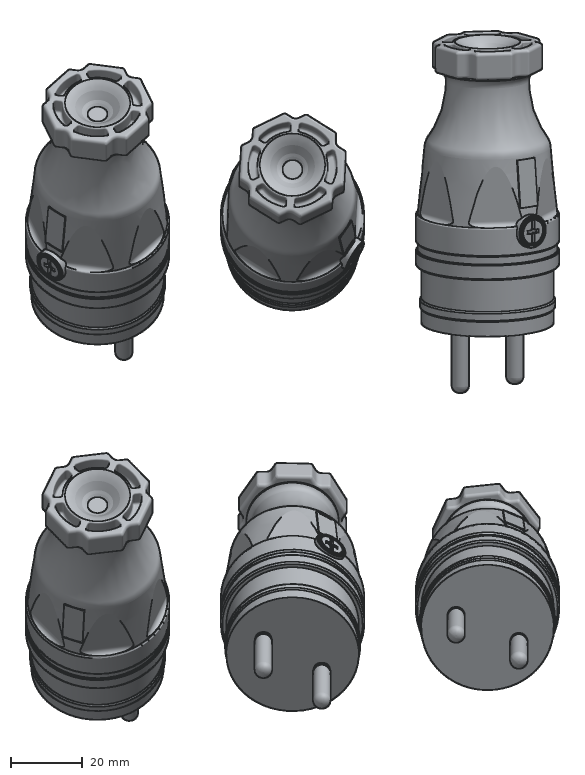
import cadquery as cq
import math


overall_width = 40.0
overall_depth = 41.0
overall_height = 98.7

base_z = 18.8
rib_bottom_z = 22.9
rib_top_z = 25.9
ring_bottom_z = 35.0
ring_top_z = 39.6
collar_bottom_z = 41.7
collar_top_z = 49.9
cone_top_z = 69.0
bell_bottom_z = 71.4
neck_z = 87.9
cap_height = 7.9
cap_bottom_z = overall_height - cap_height

base_radius = 18.5
rib_radius = 18.9
ring_radius = overall_width / 2
groove_radius = 19.4
cone_bottom_radius = 19.4
cone_top_radius = 17.6
bell_bottom_radius = 16.7
neck_radius = 11.6
rib_bevel = 0.5
ring_bevel = 0.5
ring_top_bevel = 0.3
collar_round = 0.5

side_count = 6
side_angle = 360 / side_count
flat_distance = 17.8
flat_round = 1.5

panel_width = 6.0
panel_bottom_z = 55.0
panel_top_z = 68.4
panel_height = 0.15
panel_embed = 3.0

front_y = ring_radius - overall_depth
screw_z = 48.3
screw_boss_radius = 4.6
screw_boss_bevel = 0.3
screw_boss_length = 5.9
screw_gap_outer_radius = 3.8
screw_gap_inner_radius = 3.5
screw_gap_depth = 0.6
slot_length = 6.7
cross_length = 3.75
cross_width = 1.0
cross_centre_width = 2.4
cross_depth = 1.2

cap_flat_distance = 14.6
cap_round = 1.0
notch_half_angle = 60
notch_distance = 13.4
notch_root_round = 2.1
notch_corner_round = 0.8
neck_flare_radius = 2.9
neck_flare_angle = 55

funnel_radius = 9.1
funnel_lip_radius = 6.2
funnel_lip_depth = 1.7
funnel_lip_bulge = 0.15
funnel_throat_radius = 4.3
funnel_throat_depth = 3.6
funnel_step_radius = 3.6
funnel_step_depth = 4.0
funnel_floor_radius = 2.8
funnel_floor_depth = 4.6

pocket_inner_radius = 9.8
pocket_outer_radius = 12.3
pocket_depth = 4.4
spoke_width = 2.2
pocket_corner_round = 0.8
pocket_floor_round = 0.7
pocket_rim_round = 0.4

pin_spacing = 19.0
pin_radius = 2.5
pin_neck_radius = 2.3
pin_shoulder_z = 17.6
pin_tip_round = 2.2


def make_body():
    flare_angle = math.radians(neck_flare_angle)
    flare_end_radius = neck_radius + neck_flare_radius * (1 - math.cos(flare_angle))
    flare_end_z = neck_z + neck_flare_radius * math.sin(flare_angle)
    return (
        cq.Workplane("XZ")
        .moveTo(0, base_z)
        .lineTo(base_radius, base_z)
        .lineTo(base_radius, rib_bottom_z)
        .lineTo(rib_radius, rib_bottom_z + rib_bevel)
        .lineTo(rib_radius, rib_top_z - rib_bevel)
        .lineTo(base_radius, rib_top_z)
        .lineTo(base_radius, ring_bottom_z)
        .lineTo(ring_radius - ring_bevel, ring_bottom_z)
        .lineTo(ring_radius, ring_bottom_z + ring_bevel)
        .lineTo(ring_radius, ring_top_z - ring_top_bevel)
        .lineTo(ring_radius - ring_top_bevel, ring_top_z)
        .lineTo(groove_radius, ring_top_z)
        .lineTo(groove_radius, collar_bottom_z)
        .lineTo(ring_radius - ring_bevel, collar_bottom_z)
        .lineTo(ring_radius, collar_bottom_z + ring_bevel)
        .lineTo(ring_radius, collar_top_z - collar_round)
        .radiusArc((ring_radius - collar_round, collar_top_z), -collar_round)
        .lineTo(cone_bottom_radius, collar_top_z)
        .lineTo(cone_top_radius, cone_top_z)
        .tangentArcPoint((bell_bottom_radius, bell_bottom_z), relative=False)
        .tangentArcPoint((neck_radius, neck_z), relative=False)
        .radiusArc((flare_end_radius, flare_end_z), neck_flare_radius)
        .lineTo(flare_end_radius, cap_bottom_z + cap_round / 2)
        .lineTo(0, cap_bottom_z + cap_round / 2)
        .close()
        .revolve(360, (0, 0), (0, 1))
    )


def make_flat_cutter():
    """Space outside one grip flat, ending in a round where it meets the collar."""
    length = 2 * ring_radius
    return (
        cq.Workplane("XZ")
        .moveTo(flat_distance, cone_top_z)
        .lineTo(flat_distance, collar_top_z + flat_round)
        .radiusArc((flat_distance + flat_round, collar_top_z), -flat_round)
        .lineTo(length, collar_top_z)
        .lineTo(length, cone_top_z)
        .close()
        .extrude(length / 2, both=True)
    )


def make_panel():
    """Flat panel lying parallel to the cone, on the back (+Y) side."""

    def face_y(z):
        slope = (cone_top_radius - cone_bottom_radius) / (cone_top_z - collar_top_z)
        return cone_bottom_radius + slope * (z - collar_top_z) + panel_height

    return (
        cq.Workplane("YZ")
        .moveTo(face_y(panel_bottom_z), panel_bottom_z)
        .lineTo(face_y(panel_top_z), panel_top_z)
        .lineTo(face_y(panel_top_z) - panel_embed, panel_top_z)
        .lineTo(face_y(panel_bottom_z) - panel_embed, panel_bottom_z)
        .close()
        .extrude(panel_width / 2, both=True)
    )


def axis_distance(shape):
    """Distance of the centre of an edge or wire from the Z axis."""
    return math.hypot(shape.Center().x, shape.Center().y)


def make_cap():
    """Hexagonal cap with a rounded V notch in place of each corner."""
    corner_radius = cap_flat_distance / math.cos(math.radians(side_angle / 2))
    notch_length = 2 * (corner_radius - notch_distance)
    half_width = notch_length * math.tan(math.radians(notch_half_angle))
    cap = (
        cq.Workplane("XY", origin=(0, 0, cap_bottom_z))
        .polygon(side_count, 2 * cap_flat_distance, circumscribed=True)
        .extrude(cap_height)
    )
    notch = (
        cq.Workplane("XY", origin=(0, 0, cap_bottom_z))
        .moveTo(notch_distance, 0)
        .line(notch_length, half_width)
        .line(0, -2 * half_width)
        .close()
        .extrude(cap_height)
    )
    for index in range(side_count):
        cap = cap.cut(notch.rotate((0, 0, 0), (0, 0, 1), (index + 0.5) * side_angle))
    roots = cap.edges("|Z").filter(lambda edge: axis_distance(edge) < cap_flat_distance)
    cap = roots.fillet(notch_root_round)
    corners = cap.edges("|Z").filter(lambda edge: axis_distance(edge) > cap_flat_distance)
    cap = corners.fillet(notch_corner_round)
    return cap.faces("<Z or >Z").edges().fillet(cap_round)


def make_funnel():
    lip_mid_radius = (funnel_radius + funnel_lip_radius) / 2
    return (
        cq.Workplane("XZ")
        .moveTo(0, overall_height)
        .lineTo(funnel_radius, overall_height)
        .threePointArc(
            (lip_mid_radius, overall_height - funnel_lip_depth / 2 + funnel_lip_bulge),
            (funnel_lip_radius, overall_height - funnel_lip_depth),
        )
        .lineTo(funnel_throat_radius, overall_height - funnel_throat_depth)
        .lineTo(funnel_step_radius, overall_height - funnel_step_depth)
        .lineTo(funnel_floor_radius, overall_height - funnel_floor_depth)
        .lineTo(0, overall_height - funnel_floor_depth)
        .close()
        .revolve(360, (0, 0), (0, 1))
    )


def make_pockets():
    floor_z = overall_height - pocket_depth
    ring = (
        cq.Workplane("XY", origin=(0, 0, floor_z))
        .circle(pocket_outer_radius)
        .circle(pocket_inner_radius)
        .extrude(pocket_depth)
    )
    for index in range(side_count // 2):
        spoke = (
            cq.Workplane("XY", origin=(0, 0, floor_z))
            .rect(2 * ring_radius, spoke_width)
            .extrude(pocket_depth)
            .rotate((0, 0, 0), (0, 0, 1), side_angle * (index + 0.5))
        )
        ring = ring.cut(spoke)
    ring = ring.edges("|Z").fillet(pocket_corner_round)
    return ring.faces("<Z").edges().fillet(pocket_floor_round)


def round_pocket_rims(part):
    """Round the top edges of the pockets, leaving the funnel edge sharp."""
    top_wires = part.faces(">Z").val().innerWires()
    pocket_wires = [wire for wire in top_wires if axis_distance(wire) > funnel_radius]
    rim_edges = [edge for wire in pocket_wires for edge in wire.Edges()]
    return part.newObject(rim_edges).fillet(pocket_rim_round)


def front_cylinder(radius, length):
    """Cylinder running back from the screw face."""
    return cq.Workplane("XZ", origin=(0, front_y, screw_z)).circle(radius).extrude(-length)


def make_screw_boss():
    boss = front_cylinder(screw_boss_radius, screw_boss_length)
    return boss.faces("<Y").chamfer(screw_boss_bevel)


def make_screw_recess():
    gap = front_cylinder(screw_gap_outer_radius, screw_gap_depth)
    gap = gap.cut(front_cylinder(screw_gap_inner_radius, screw_gap_depth))
    face = cq.Workplane("XZ", origin=(0, front_y, screw_z))
    slot = face.rect(cross_width, slot_length).extrude(-cross_depth)
    cross_arm = face.rect(cross_length, cross_width).extrude(-cross_depth)
    centre = face.polygon(4, cross_centre_width).extrude(-cross_depth)
    return gap.union(slot).union(cross_arm).union(centre)


def make_pin(x):
    shank = (
        cq.Workplane("XY", origin=(x, 0, 0))
        .circle(pin_radius)
        .extrude(pin_shoulder_z)
        .faces("<Z")
        .edges()
        .fillet(pin_tip_round)
    )
    neck = (
        cq.Workplane("XY", origin=(x, 0, pin_shoulder_z))
        .circle(pin_neck_radius)
        .extrude(base_z - pin_shoulder_z)
    )
    return shank.union(neck)


result = make_body()
flat_cutter = make_flat_cutter()
for index in range(side_count):
    result = result.cut(flat_cutter.rotate((0, 0, 0), (0, 0, 1), index * side_angle))
panel = make_panel()
result = result.union(panel).union(panel.mirror("XZ"))

cap = make_cap().cut(make_funnel()).cut(make_pockets())
result = result.union(round_pocket_rims(cap))

result = result.union(make_screw_boss()).cut(make_screw_recess())
for x in (-pin_spacing / 2, pin_spacing / 2):
    result = result.union(make_pin(x))